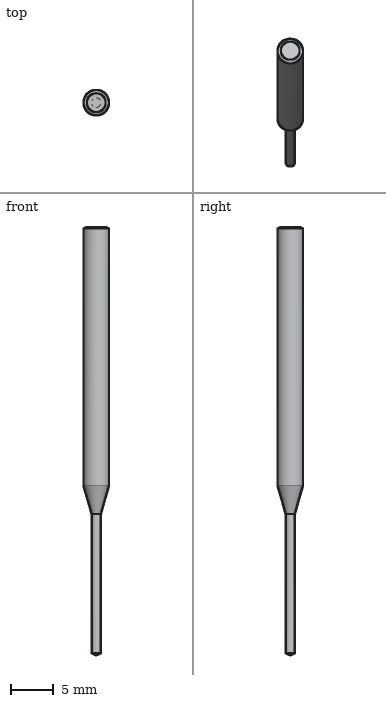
import cadquery as cq
import math

TOTAL_LENGTH = 50.0
SHANK_DIAMETER = 3.0
BIT_DIAMETER = 1.1

BIT_LENGTH = 16.5
TAPER_TOP = 19.8

POINT_ANGLE = 130.0
CHAMFER_WIDTH = 0.4
CHAMFER_HEIGHT = 0.2

shank_radius = SHANK_DIAMETER / 2
bit_radius = BIT_DIAMETER / 2
point_height = bit_radius / math.tan(math.radians(POINT_ANGLE / 2))


def revolve_profile(points):
    """Turn a closed (radius, height) outline a full turn about the Z axis."""
    return cq.Workplane("XZ").polyline(points).close().revolve(360, (0, 0, 0), (0, 1, 0))


def make_shank():
    """Cylindrical shank with a bevelled top and a taper down to the bit."""
    return revolve_profile([
        (0, BIT_LENGTH),
        (bit_radius, BIT_LENGTH),
        (shank_radius, TAPER_TOP),
        (shank_radius, TOTAL_LENGTH - CHAMFER_HEIGHT),
        (shank_radius - CHAMFER_WIDTH, TOTAL_LENGTH),
        (0, TOTAL_LENGTH),
    ])


def make_bit():
    """Slim cylindrical bit with a conical point, butting against the shank."""
    return revolve_profile([
        (0, 0),
        (bit_radius, point_height),
        (bit_radius, BIT_LENGTH),
        (0, BIT_LENGTH),
    ])


shank = make_shank()
bit = make_bit()

result = cq.Compound.makeCompound([shank.val(), bit.val()])